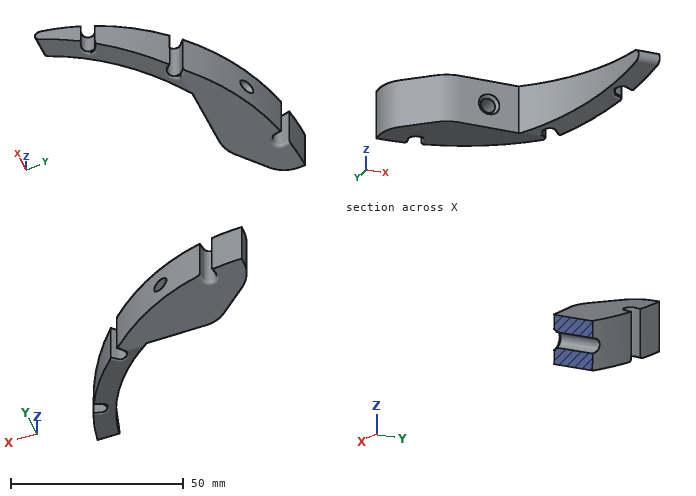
import cadquery as cq
import math

length = 65.65
depth = 55.9
thickness = 15.0

outer_radius = (length**2 + depth**2) / (2 * depth)
arm_width = 6.55
inner_radius = outer_radius - arm_width
centre_y = -outer_radius

head_depth = 19.1
left_corner_y = -6.8
slant_angle = 40.0
corner_radius = 10.0

slot_width = 4.0
slot_centre_radius = 64.4
slot_angles = (80.0, 45.0, 22.5)
slot_round = 1.0

hole_diameter = 4.5
countersink_diameter = 6.4
countersink_depth = (countersink_diameter - hole_diameter) / 2

slope_start_y = -19.7
tip_radius = 2.0

overrun = 3.3

slant_end_x = (head_depth + left_corner_y) / math.tan(math.radians(slant_angle))
flat_end_x = math.sqrt(inner_radius**2 - (-head_depth - centre_y)**2)
flat_start_x = slant_end_x + corner_radius * math.tan(math.radians(slant_angle / 2))
hole_x = (flat_start_x + flat_end_x) / 2

tip_y = tip_radius - depth
tip_z = thickness - tip_radius
slope_run = slope_start_y - tip_y
slope = math.atan2(tip_z, slope_run) - math.asin(tip_radius / math.hypot(slope_run, tip_z))


def arc_point(radius, angle):
    """Point on a circle about the arm centre, with the angle in degrees."""
    turn = math.radians(angle)
    return radius * math.cos(turn), centre_y + radius * math.sin(turn)


def angle_at_height(radius, y):
    return math.degrees(math.asin((y - centre_y) / radius))


def make_blank():
    """Full-thickness plan outline with the two rounded head corners."""
    outer_mid_angle = (90 + angle_at_height(outer_radius, -depth)) / 2
    inner_end_angle = angle_at_height(inner_radius, -depth)
    inner_mid_angle = (angle_at_height(inner_radius, -head_depth) + inner_end_angle) / 2
    outline = (
        cq.Workplane("XY")
        .moveTo(0, 0)
        .threePointArc(arc_point(outer_radius, outer_mid_angle), (length, -depth))
        .lineTo(*arc_point(inner_radius, inner_end_angle))
        .threePointArc(arc_point(inner_radius, inner_mid_angle), (flat_end_x, -head_depth))
        .lineTo(slant_end_x, -head_depth)
        .lineTo(0, left_corner_y)
        .close()
    )
    blank = outline.extrude(thickness)
    for corner in ((0, left_corner_y), (slant_end_x, -head_depth)):
        edge = cq.selectors.NearestToPointSelector((*corner, thickness / 2))
        blank = blank.edges(edge).fillet(corner_radius)
    return blank


def make_side_profile():
    """Side outline swept along X: flat top, round tip and underside tangent to the tip."""
    tangent_y = tip_y - tip_radius * math.sin(slope)
    tangent_z = tip_z - tip_radius * math.cos(slope)
    return (
        cq.Workplane("YZ", origin=(-overrun, 0, 0))
        .moveTo(overrun, 0)
        .lineTo(overrun, thickness)
        .lineTo(tip_y, thickness)
        .threePointArc((-depth, tip_z), (tangent_y, tangent_z))
        .lineTo(slope_start_y, 0)
        .close()
        .extrude(length + 2 * overrun)
    )


def slot_outline(width):
    """Slot outline with its round end centred on the origin, running past the outer edge along +X."""
    reach = outer_radius + overrun - slot_centre_radius
    half = width / 2
    return (
        cq.Workplane("XY")
        .moveTo(reach, half)
        .lineTo(0, half)
        .threePointArc((-half, 0), (0, -half))
        .lineTo(reach, -half)
        .close()
    )


def make_slot(angle):
    """Radial slot through the full thickness, open to the outer edge."""
    slot = slot_outline(slot_width).extrude(thickness)
    x, y = arc_point(slot_centre_radius, angle)
    return slot.rotate((0, 0, 0), (0, 0, 1), angle).translate((x, y, 0))


def make_slot_mouth(angle, tilt, z):
    """Sliver that rounds a slot's edges at the underside, tilted to lie in that face."""
    border = slot_outline(slot_width + 2 * overrun).extrude(overrun)
    border = border.cut(slot_outline(slot_width).extrude(overrun))
    round_end = cq.selectors.NearestToPointSelector((-slot_width / 2, 0, 0))
    mouth = border.cut(border.edges(round_end).fillet(slot_round))
    x, y = arc_point(slot_centre_radius, angle)
    return (
        mouth.rotate((0, 0, 0), (0, 0, 1), angle)
        .rotate((0, 0, 0), (1, 0, 0), -math.degrees(tilt))
        .translate((x, y, z))
    )


def make_hole():
    """Through hole along +Y with a 45 degree countersink on the flat of the head."""
    face = cq.Workplane("XZ", origin=(hole_x, -head_depth, thickness / 2))
    bore = face.circle(hole_diameter / 2).extrude(-head_depth - overrun)
    countersink = cq.Solid.makeCone(
        countersink_diameter / 2,
        hole_diameter / 2,
        countersink_depth,
        pnt=cq.Vector(hole_x, -head_depth, thickness / 2),
        dir=cq.Vector(0, 1, 0),
    )
    return bore.union(cq.Workplane(countersink))


result = make_blank().intersect(make_side_profile())
for slot_angle in slot_angles:
    result = result.cut(make_slot(slot_angle))
    slot_y = arc_point(slot_centre_radius, slot_angle)[1]
    if slot_y + slot_width > slope_start_y:
        result = result.cut(make_slot_mouth(slot_angle, 0, 0))
    if slot_y - slot_width < slope_start_y:
        slope_z = (slope_start_y - slot_y) * math.tan(slope)
        result = result.cut(make_slot_mouth(slot_angle, slope, slope_z))
result = result.cut(make_hole())